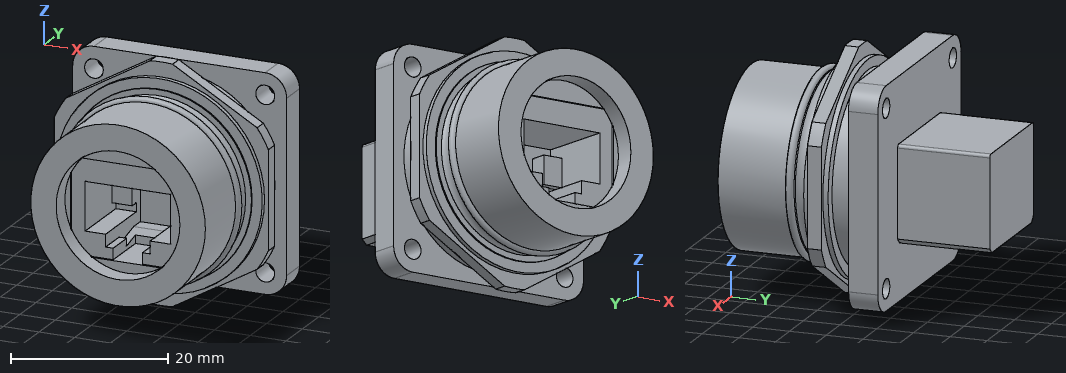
import cadquery as cq
import math


total_length = 35.37
front_length = 18.8
flange_thickness = 4.0
front_y = -front_length
flange_back_y = flange_thickness
back_y = total_length - front_length

flange_size = 30.0
flange_corner_radius = 3.0
mount_hole_diameter = 2.6
mount_hole_spacing = flange_size - 2 * flange_corner_radius

clearance_radius = 13.37
clearance_depth = 1.25

barrel_radius = 12.25
shoulder_radius = 13.05
shoulder_y = front_y + 12.3
groove_front_y = front_y + 10.55
groove_depth = 0.42
ring_y = front_y + 9.8
ring_radius = 0.55

nut_width = flange_size
nut_corner_diameter = 32.95
nut_thickness = 1.9
washer_radius = 14.45
washer_thickness = 0.7
washer_front_y = front_y + 12.52
nut_front_y = washer_front_y + washer_thickness
nut_stack = nut_thickness + 2 * washer_thickness

bore_radius = 8.65
bore_depth = 2.7
insert_face_y = front_y + 3.0

insert_width = 15.75
insert_top = 5.98
insert_bottom = -7.25
insert_top_fillet = 0.42
insert_bottom_chamfer = 0.7

jack_width = 11.95
jack_top = 2.75
jack_floor = -3.95
latch_width = 6.23
latch_floor = -5.7
latch_slot_width = 4.1
jack_depth = 10.6
latch_slot_depth = 6.8

side_block_top = 1.13
side_block_bottom = -2.75
side_block_length = 2.48
side_step_length = 1.25

catch_depth = 4.15
catch_drop = 1.03
catch_run = 4.42


def box(width, y_start, y_end, z_bottom, z_top, x_center=0.0):
    """Axis-aligned block centred on x_center between the given Y and Z limits."""
    corner = (x_center - width / 2, y_start, z_bottom)
    return cq.Workplane("XY").box(width, y_end - y_start, z_top - z_bottom, centered=False).translate(corner)


def disc(radius, y_start, y_end):
    """Cylinder about the connector axis."""
    plane = cq.Workplane("XZ", origin=(0, y_start, 0))
    return plane.circle(radius).extrude(y_start - y_end)


def flange():
    plate = box(flange_size, 0, flange_back_y, -flange_size / 2, flange_size / 2)
    plate = plate.edges("|Y").fillet(flange_corner_radius)
    plate = (
        plate.faces("<Y")
        .workplane(centerOption="CenterOfBoundBox")
        .rect(mount_hole_spacing, mount_hole_spacing, forConstruction=True)
        .vertices()
        .hole(mount_hole_diameter)
    )
    return plate.cut(disc(clearance_radius, 0, clearance_depth))


def shell():
    """Turned body with the concave groove and the round sealing ring."""
    groove_mid_y = (shoulder_y + groove_front_y) / 2
    return (
        cq.Workplane("XY")
        .moveTo(0, front_y)
        .lineTo(barrel_radius, front_y)
        .lineTo(barrel_radius, ring_y - ring_radius)
        .threePointArc((barrel_radius + ring_radius, ring_y), (barrel_radius, ring_y + ring_radius))
        .lineTo(barrel_radius, groove_front_y)
        .threePointArc((barrel_radius - groove_depth, groove_mid_y), (barrel_radius, shoulder_y))
        .lineTo(shoulder_radius, shoulder_y)
        .lineTo(shoulder_radius, clearance_depth)
        .lineTo(0, clearance_depth)
        .close()
        .revolve(360, (0, 0), (0, 1))
    )


def nut_and_washers():
    washers = disc(washer_radius, washer_front_y, washer_front_y + nut_stack)
    hexagon = (
        cq.Workplane("XZ", origin=(0, nut_front_y, 0))
        .transformed(rotate=(0, 0, 30))
        .polygon(6, nut_width / math.cos(math.pi / 6))
        .extrude(-nut_thickness)
    )
    trim = disc(nut_corner_diameter / 2, nut_front_y, nut_front_y + nut_thickness)
    return washers.union(hexagon.intersect(trim))


def insert_block():
    """Rear part of the insert, behind the flange."""
    block = box(insert_width, flange_back_y, back_y, insert_bottom, insert_top)
    block = block.edges("|Y and >Z").fillet(insert_top_fillet)
    return block.edges("|Y and <Z").chamfer(insert_bottom_chamfer)


def mating_bore():
    bore = disc(bore_radius, front_y, front_y + bore_depth)
    face_recess = box(insert_width, front_y + bore_depth, insert_face_y, insert_bottom, insert_top)
    return bore.union(face_recess)


def latch_catch():
    catch_y = insert_face_y + catch_depth
    profile = [
        (catch_y, latch_floor),
        (catch_y, latch_floor - catch_drop),
        (catch_y + catch_run, latch_floor),
    ]
    return cq.Workplane("YZ").polyline(profile).close().extrude(latch_width / 2, both=True)


def jack_opening():
    jack_back_y = insert_face_y + jack_depth
    opening = box(jack_width, insert_face_y, jack_back_y, jack_floor, jack_top)
    side_block_width = (jack_width - latch_width) / 2
    side_block_x = (jack_width + latch_width) / 4
    for side in (-1, 1):
        side_block = box(
            side_block_width, jack_back_y - side_block_length, jack_back_y,
            side_block_bottom, side_block_top, side * side_block_x,
        )
        side_step = box(
            side_block_width, jack_back_y - side_step_length, jack_back_y,
            jack_floor, side_block_bottom, side * side_block_x,
        )
        opening = opening.cut(side_block).cut(side_step)
    latch_channel = box(latch_width, insert_face_y, jack_back_y, latch_floor, jack_floor)
    latch_slot_back_y = insert_face_y + latch_slot_depth
    latch_slot = box(latch_slot_width, insert_face_y, latch_slot_back_y, insert_bottom, latch_floor)
    return opening.union(latch_channel).union(latch_slot).union(latch_catch())


body = flange().union(shell()).union(nut_and_washers()).union(insert_block())
result = body.cut(mating_bore()).cut(jack_opening())